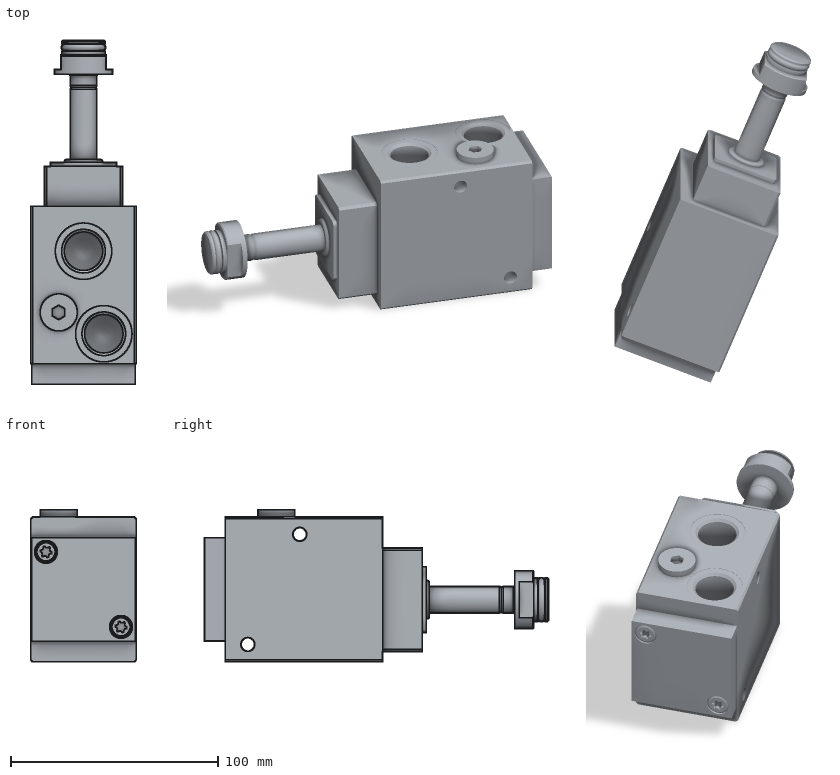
import cadquery as cq
import math


total_length = 166.0

block_width = 51.0
block_height = 70.0
block_length = 76.0
block_chamfer = 1.0
cover_size = 50.0
cover_length = 10.0
block_end = cover_length + block_length

axis_z = -5.0
operator_width = 37.8
operator_height = 50.0
operator_length = 19.1
operator_chamfer = 1.2
operator_end = block_end + operator_length
plate_size = 31.9
plate_thickness = 2.0
plate_corner_radius = 2.2
plate_end = operator_end + plate_thickness
collar_diameter = 18.6
collar_height = 1.5
collar_fillet = 1.3
stem_diameter = 13.0
stem_groove_diameter = 12.1
stem_groove_width = 2.0
stem_groove_setback = 22.7

nut_diameter = 28.0
nut_across_flats = 21.9
nut_length = 9.3
nut_chamfer = 0.5
flange_thickness = 2.3
lip_diameter = 13.1
lip_height = 0.5
neck_diameter = 21.0
neck_length = 7.1
neck_chamfer = 0.7
nut_shoulder = total_length - neck_length
nut_base = nut_shoulder - nut_length

ring_outer_diameter = 21.4
ring_section = 3.2
groove_width = 3.7
groove_rim = 1.7
groove_diameter = ring_outer_diameter - 2 * ring_section
groove_start = total_length - groove_rim - groove_width
ring_y = groove_start + groove_width / 2

port_centres = [(0.0, 64.2), (9.8, 24.4)]
port_diameter = 18.6
port_mouth_diameter = 21.0
port_depth = 20.0
port_tip_angle = 118.0
port_seat_diameter = 27.2
port_seat_depth = 0.2

plug_centre = (-12.0, 34.7)
plug_diameter = 18.0
plug_height = 3.5
plug_hex_diameter = 7.0
plug_hex_depth = 3.3
plug_hex_sides = 6

cross_hole_diameter = 6.5
cross_hole_centres = [(46.0, 26.5), (20.9, -26.5)]

screw_offset = 18.1
screw_centres = [(-screw_offset, screw_offset), (screw_offset, -screw_offset)]
screw_recess_diameter = 11.0
screw_recess_depth = 0.8
screw_head_diameter = 10.0
screw_face_diameter = 8.8
screw_head_drop = 0.3
star_outer_diameter = 5.6
star_inner_diameter = 4.0
star_depth = 2.0
star_flute_radius = 1.2
star_points = 6
star_angle = 20.0


def block_along_y(width, height, start, length, centre_z=0.0):
    """Rectangular block running from Y = start to Y = start + length."""
    return cq.Workplane("XY").box(width, length, height).translate((0, start + length / 2, centre_z))


def cylinder_along_y(diameter, start, length, x=0.0, z=axis_z):
    """Cylinder running from Y = start to Y = start + length."""
    base = cq.Vector(x, start, z)
    return cq.Workplane(cq.Solid.makeCylinder(diameter / 2, length, base, cq.Vector(0, 1, 0)))


def revolve_about_axis(profile):
    """Revolve a closed (radius, Y) polygon about the operator axis."""
    outline = cq.Workplane("XY").polyline(profile).close()
    return outline.revolve(360, (0, 0, 0), (0, 1, 0)).translate((0, 0, axis_z))


def make_stem():
    """Round stem with a V-groove near the nut."""
    radius = stem_diameter / 2
    groove_y = total_length - stem_groove_setback
    return revolve_about_axis([
        (0, operator_end),
        (radius, operator_end),
        (radius, groove_y - stem_groove_width / 2),
        (stem_groove_diameter / 2, groove_y),
        (radius, groove_y + stem_groove_width / 2),
        (radius, nut_base),
        (0, nut_base),
    ])


def make_operator():
    """Chamfered block, mounting plate, collar and stem."""
    base = block_along_y(operator_width, operator_height, block_end, operator_length, axis_z)
    base = base.edges("|Y").chamfer(operator_chamfer)
    plate = block_along_y(plate_size, plate_size, operator_end, plate_thickness, axis_z)
    plate = plate.edges("|Y").fillet(plate_corner_radius)
    collar = cylinder_along_y(collar_diameter, plate_end, collar_height)
    collar = collar.faces(">Y").fillet(collar_fillet)
    return base.union(plate).union(collar).union(make_stem())


def make_port(x, y):
    """Cutter for one port: shallow seat, chamfered bore and conical bottom."""
    bore_radius = port_diameter / 2
    mouth_radius = port_mouth_diameter / 2
    seat_radius = port_seat_diameter / 2
    seat_z = block_height / 2 - port_seat_depth
    bore_bottom = block_height / 2 - port_depth
    tip_drop = bore_radius / math.tan(math.radians(port_tip_angle / 2))
    profile = [
        (0, block_height / 2),
        (seat_radius, block_height / 2),
        (seat_radius, seat_z),
        (mouth_radius, seat_z),
        (bore_radius, seat_z - (mouth_radius - bore_radius)),
        (bore_radius, bore_bottom),
        (0, bore_bottom - tip_drop),
    ]
    outline = cq.Workplane("XZ").polyline(profile).close()
    return outline.revolve(360, (0, 0, 0), (0, 1, 0)).translate((x, y, 0))


def make_plug():
    """Round plug head with a hexagon socket."""
    plug = cq.Workplane("XY").circle(plug_diameter / 2).extrude(plug_height)
    hexagon = cq.Workplane("XY").workplane(offset=plug_height).transformed(rotate=(0, 0, 90))
    socket = hexagon.polygon(plug_hex_sides, plug_hex_diameter).extrude(-plug_hex_depth)
    return plug.cut(socket).translate((*plug_centre, block_height / 2))


def make_screw_recess(x, z):
    """Cutter for the groove around one flush screw head and for its star socket."""
    recess = cylinder_along_y(screw_recess_diameter, 0, screw_recess_depth, x, z)
    head = cylinder_along_y(screw_head_diameter, 0, screw_recess_depth, x, z)
    edge_bevel = (screw_head_diameter - screw_face_diameter) / 2
    head = head.faces("<Y").chamfer(screw_head_drop, edge_bevel)
    star = cylinder_along_y(star_outer_diameter, 0, star_depth, x, z)
    flute_distance = star_inner_diameter / 2 + star_flute_radius
    for i in range(star_points):
        angle = math.radians(star_angle + i * 360 / star_points)
        flute_x = x + flute_distance * math.cos(angle)
        flute_z = z + flute_distance * math.sin(angle)
        star = star.cut(cylinder_along_y(2 * star_flute_radius, 0, star_depth, flute_x, flute_z))
    return recess.cut(head).union(star)


def make_nut():
    """Collar with two flats above a round flange, and a neck grooved for the sealing ring."""
    collar = cylinder_along_y(nut_diameter, nut_base, nut_length).faces(">Y").chamfer(nut_chamfer)
    flange_top = nut_base + flange_thickness
    flats = block_along_y(nut_across_flats, nut_diameter, flange_top, nut_length, axis_z)
    flange = block_along_y(nut_diameter, nut_diameter, nut_base, flange_thickness, axis_z)
    collar = collar.intersect(flats.union(flange))
    lip = cylinder_along_y(lip_diameter, nut_base - lip_height, lip_height)
    neck = cylinder_along_y(neck_diameter, nut_shoulder, neck_length).faces(">Y").chamfer(neck_chamfer)
    groove = cylinder_along_y(neck_diameter, groove_start, groove_width)
    groove = groove.cut(cylinder_along_y(groove_diameter, groove_start, groove_width))
    return collar.union(lip).union(neck.cut(groove))


def make_valve():
    """Block, cover, operator, nut and plug as one solid, with ports, holes and screw details cut in."""
    block = block_along_y(block_width, block_height, cover_length, block_length)
    block = block.edges("|Y").chamfer(block_chamfer)
    cover = block_along_y(cover_size, cover_size, 0, cover_length)
    valve = block.union(cover).union(make_operator()).union(make_nut()).union(make_plug())
    for x, y in port_centres:
        valve = valve.cut(make_port(x, y))
    for y, z in cross_hole_centres:
        hole = cq.Workplane("YZ").center(y, z).circle(cross_hole_diameter / 2)
        valve = valve.cut(hole.extrude(block_width, both=True))
    for x, z in screw_centres:
        valve = valve.cut(make_screw_recess(x, z))
    return valve


def make_sealing_ring():
    """Round-section ring resting on the floor of the neck groove."""
    centre_radius = (ring_outer_diameter - ring_section) / 2
    centre = cq.Vector(0, ring_y, axis_z)
    return cq.Solid.makeTorus(centre_radius, ring_section / 2, centre, cq.Vector(0, 1, 0))


valve = make_valve()
sealing_ring = make_sealing_ring()
result = cq.Compound.makeCompound([valve.val(), sealing_ring])